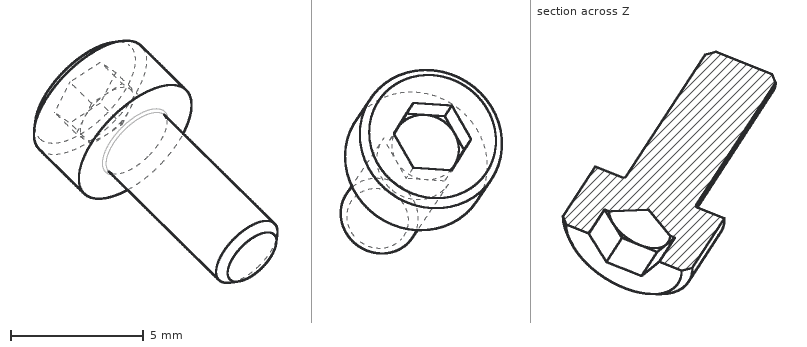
import cadquery as cq
import math

total_length = 10.0
head_length = 3.0
head_diameter = 5.5
head_chamfer = 0.3
shank_diameter = 3.0
tip_chamfer = 0.31
neck_fillet = 0.1

socket_width = 2.58
socket_depth = 1.3
drill_point_angle = 120.0

head_radius = head_diameter / 2
shank_radius = shank_diameter / 2


def make_body():
    """Revolve the half outline of the head and shank about X."""
    fillet_reach = neck_fillet * (1 - math.sqrt(0.5))
    outline = (
        cq.Workplane("XY")
        .lineTo(0, head_radius - head_chamfer)
        .lineTo(head_chamfer, head_radius)
        .lineTo(head_length, head_radius)
        .lineTo(head_length, shank_radius + neck_fillet)
        .threePointArc(
            (head_length + fillet_reach, shank_radius + fillet_reach),
            (head_length + neck_fillet, shank_radius),
        )
        .lineTo(total_length - tip_chamfer, shank_radius)
        .lineTo(total_length, shank_radius - tip_chamfer)
        .lineTo(total_length, 0)
        .close()
    )
    return outline.revolve(360, (0, 0, 0), (1, 0, 0))


def make_socket():
    """Hexagonal recess with two flats facing up and down, plus its drill cone."""
    corner_diameter = socket_width / math.cos(math.pi / 6)
    hexagon = cq.Workplane("YZ").polygon(6, corner_diameter).extrude(socket_depth)

    cone_radius = socket_width / 2
    cone_depth = cone_radius / math.tan(math.radians(drill_point_angle / 2))
    cone = (
        cq.Workplane("XY")
        .moveTo(socket_depth, 0)
        .lineTo(socket_depth, cone_radius)
        .lineTo(socket_depth + cone_depth, 0)
        .close()
        .revolve(360, (0, 0, 0), (1, 0, 0))
    )
    return hexagon.union(cone)


result = make_body().cut(make_socket())